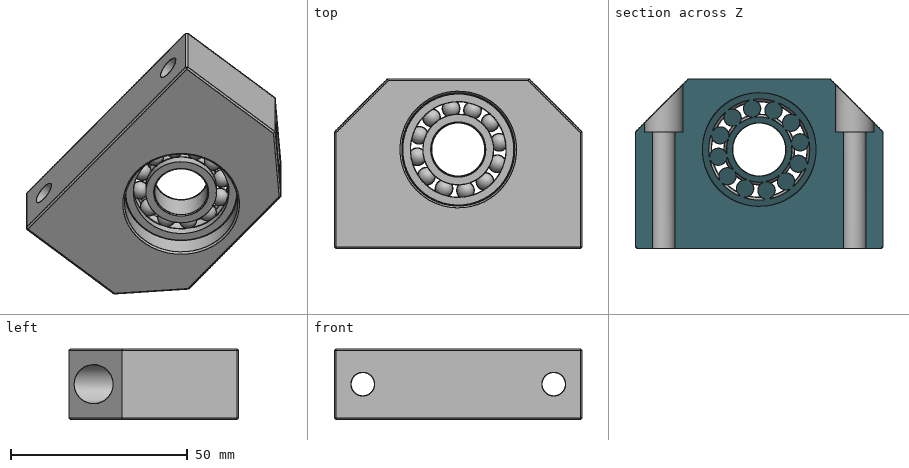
import cadquery as cq
import math

block_length = 70.0
block_depth = 48.0
block_height = 20.0
corner_cut = 15.0
edge_chamfer = 0.5

screw_offset = 27.0
screw_hole_diameter = 6.6
screw_head_diameter = 11.0
screw_seat_y = block_depth - corner_cut

bearing_y = 28.0
bearing_bore = 15.0
bearing_diameter = 32.0
bearing_width = 9.0
bearing_chamfer = 0.3
inner_ring_diameter = 20.0
outer_ring_bore = 27.0
bearing_recess = 4.5
bearing_bottom_z = block_height - bearing_recess - bearing_width

ball_diameter = 5.0
ball_count = 12
first_ball_angle = 10.0
ball_pitch_radius = (inner_ring_diameter + outer_ring_bore) / 4
ball_center_z = bearing_bottom_z + bearing_width / 2

raceway_groove_radius = 2.48

bore_mouth_chamfer = 0.5


def make_block():
    """Rectangular block with sloped rear corners and broken outer edges."""
    half_length = block_length / 2
    outline = [
        (-half_length, 0),
        (half_length, 0),
        (half_length, block_depth - corner_cut),
        (half_length - corner_cut, block_depth),
        (-half_length + corner_cut, block_depth),
        (-half_length, block_depth - corner_cut),
    ]
    block = cq.Workplane("XY").polyline(outline).close().extrude(block_height)
    front_uprights = block.edges("|Z and <Y")
    rims = block.faces("<Z or >Z").edges()
    return block.newObject(front_uprights.vals() + rims.vals()).chamfer(edge_chamfer)


def make_screw_hole(x):
    """Through hole with a head recess open to the rear."""
    front = cq.Workplane("XZ", origin=(x, 0, block_height / 2))
    hole = front.circle(screw_hole_diameter / 2).extrude(-block_depth)
    seat = cq.Workplane("XZ", origin=(x, screw_seat_y, block_height / 2))
    recess = seat.circle(screw_head_diameter / 2).extrude(screw_seat_y - block_depth)
    return hole.union(recess)


def make_housing():
    """Block with a plain bearing bore right through it, chamfered at both mouths."""
    bore = (
        cq.Workplane("XY", origin=(0, bearing_y, 0))
        .circle(bearing_diameter / 2)
        .extrude(block_height)
    )
    body = make_block().cut(bore)
    mouths = body.edges(cq.selectors.RadiusNthSelector(-1))
    body = mouths.chamfer(bore_mouth_chamfer)
    for x in (-screw_offset, screw_offset):
        body = body.cut(make_screw_hole(x))
    return body.solids()


def make_ring(inner_diameter, outer_diameter):
    """Flat bearing ring standing on the bearing's bottom face."""
    return (
        cq.Workplane("XY", origin=(0, bearing_y, bearing_bottom_z))
        .circle(outer_diameter / 2)
        .circle(inner_diameter / 2)
        .extrude(bearing_width)
    )


def make_raceway():
    """Torus that cuts a round groove into the facing walls of both rings."""
    return (
        cq.Workplane("XZ", origin=(0, bearing_y, ball_center_z))
        .center(ball_pitch_radius, 0)
        .circle(raceway_groove_radius)
        .revolve(360, (-ball_pitch_radius, 0), (-ball_pitch_radius, 1))
    )


def make_bearing():
    """Inner and outer rings joined by the balls between them."""
    inner_ring = make_ring(bearing_bore, inner_ring_diameter)
    inner_ring = inner_ring.edges(cq.selectors.RadiusNthSelector(0)).chamfer(bearing_chamfer)
    outer_ring = make_ring(outer_ring_bore, bearing_diameter)
    outer_ring = outer_ring.edges(cq.selectors.RadiusNthSelector(-1)).chamfer(bearing_chamfer)
    bearing = inner_ring.union(outer_ring).cut(make_raceway())
    for index in range(ball_count):
        angle = math.radians(first_ball_angle + index * 360 / ball_count)
        ball_center = (
            ball_pitch_radius * math.cos(angle),
            bearing_y + ball_pitch_radius * math.sin(angle),
            ball_center_z,
        )
        ball = cq.Workplane("XY", origin=ball_center).sphere(ball_diameter / 2)
        bearing = bearing.union(ball)
    return bearing.solids()


housing = make_housing()
bearing = make_bearing()

result = cq.Compound.makeCompound([housing.val(), bearing.val()])